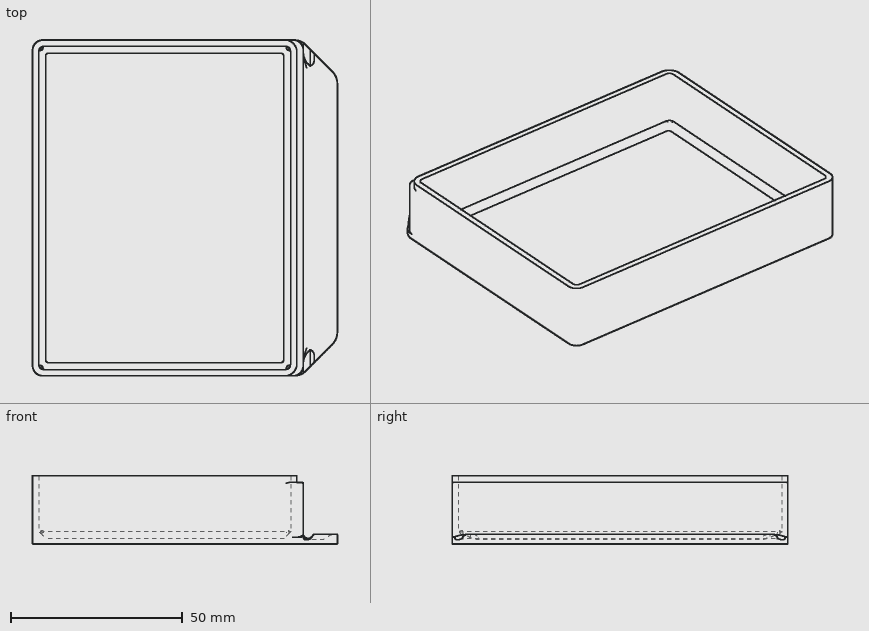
import cadquery as cq
import math

overall_length = 88.8
width = 97.8
height = 20.0
tab_reach = 10.0
corner_radius = 3.0
wall = 1.9
floor_thickness = 1.8
cavity_radius = 1.5
floor_bevel = 2.0
bottom_round = 0.4

step_depth = 1.9
step_height = 2.0
step_corner_radius = 3.5
step_edge_round = 0.4

tab_height = 2.9
tab_floor = 1.4
tab_embed = 3.1
tab_corner_inset = 10.7
tab_corner_radius = 5.4
tab_root_radius = 4.9
tab_edge_round = 0.4
lip_flat = 1.1
lip_slope = 3.8

cove_radius = 1.2
gutter_floor = 1.8
gutter_flat = 0.9
drop_length = 3.5
drop_height = 1.0

wall_face = overall_length - tab_reach
half_width = width / 2
tab_corner_y = half_width - tab_corner_inset
tab_root_x = overall_length - tab_corner_inset
clearance = 1.0


def block(x_start, x_end, y_width, z_bottom, z_top):
    """Box between the given X and Z limits, centred on Y."""
    base = cq.Workplane("XY", origin=(x_start, 0, z_bottom))
    return base.box(x_end - x_start, y_width, z_top - z_bottom, centered=(False, True, False))


def tray_shell():
    """Solid rounded body with its +X rim set back behind a low shelf."""
    shelf = height - step_height
    body = block(0, wall_face, width, 0, shelf).edges("|Z").fillet(corner_radius)
    body = body.faces("<Z").edges().fillet(bottom_round)
    body = body.faces(">Z").edges().fillet(step_edge_round)
    rim = block(0, wall_face - step_depth, width, shelf - clearance, height)
    rim = rim.edges("|Z and <X").fillet(corner_radius)
    rim = rim.edges("|Z and >X").fillet(step_corner_radius)
    return body.union(rim)


def cavity():
    """Inside of the tray: bevelled at the floor, then rounded in every corner."""
    end = wall_face - step_depth - wall
    inside = block(wall, end, width - 2 * wall, floor_thickness, height + clearance)
    inside = inside.faces("<Z").edges().chamfer(floor_bevel)
    return inside.edges("not #Z").fillet(cavity_radius)


def tab_plate():
    """Solid tab plate with mitred corners, all rounded."""
    plate = (
        cq.Workplane("XY")
        .moveTo(wall_face - tab_embed, half_width)
        .lineTo(tab_root_x, half_width)
        .lineTo(overall_length, tab_corner_y)
        .lineTo(overall_length, -tab_corner_y)
        .lineTo(tab_root_x, -half_width)
        .lineTo(wall_face - tab_embed, -half_width)
        .close()
        .extrude(tab_height)
    )
    plate = plate.edges("|Z and >X").fillet(tab_corner_radius)
    roots = cq.selectors.BoxSelector(
        (tab_root_x - clearance, -width, 0),
        (tab_root_x + clearance, width, tab_height),
    )
    plate = plate.edges("|Z").edges(roots).fillet(tab_root_radius)
    return plate.faces("<Z or >Z").edges("not <X").fillet(tab_edge_round)


def lip():
    """Tab lip with an S-shaped inner slope, swept along the tab outline."""
    turn = tab_corner_radius * math.tan(math.pi / 8)
    turn_diagonal = turn / math.sqrt(2)
    arc_start_x = overall_length - turn_diagonal
    arc_start_y = tab_corner_y + turn_diagonal
    arc_end_y = tab_corner_y - turn
    arc_mid_x = overall_length - tab_corner_radius * (1 - math.cos(math.pi / 8))
    arc_mid_y = arc_end_y + tab_corner_radius * math.sin(math.pi / 8)
    mitre_run = 2 * tab_corner_inset
    path_end_x = overall_length - mitre_run
    path_end_y = tab_corner_y + mitre_run
    path = (
        cq.Workplane("XY")
        .moveTo(path_end_x, path_end_y)
        .lineTo(arc_start_x, arc_start_y)
        .threePointArc((arc_mid_x, arc_mid_y), (overall_length, arc_end_y))
        .lineTo(overall_length, -arc_end_y)
        .threePointArc((arc_mid_x, -arc_mid_y), (arc_start_x, -arc_start_y))
        .lineTo(path_end_x, -path_end_y)
    )

    rise = tab_height - tab_floor
    arc_radius = (lip_slope**2 + rise**2) / (4 * rise)
    half_swing = math.asin(lip_slope / 2 / arc_radius) / 2
    arc_mid_run = arc_radius * math.sin(half_swing)
    arc_mid_rise = arc_radius * (1 - math.cos(half_swing))
    foot = lip_flat + lip_slope
    section_plane = cq.Plane(origin=(path_end_x, path_end_y, 0), xDir=(-1, -1, 0), normal=(-1, 1, 0))
    return (
        cq.Workplane(section_plane)
        .moveTo(-clearance, 0)
        .lineTo(foot, 0)
        .lineTo(foot, tab_floor)
        .threePointArc(
            (foot - arc_mid_run, tab_floor + arc_mid_rise),
            (foot - lip_slope / 2, tab_floor + rise / 2),
        )
        .threePointArc((lip_flat + arc_mid_run, tab_height - arc_mid_rise), (lip_flat, tab_height))
        .lineTo(-clearance, tab_height)
        .close()
        .sweep(path)
    )


def dish():
    """Hollow of the tab: the space above its floor that the lip leaves free."""
    above_floor = block(wall_face, overall_length + clearance, width, tab_floor, tab_height)
    return above_floor.cut(lip())


def cove_outline(y, x_start, floor_z):
    """XZ outline at the given Y, begun along the cove from the wall face to the floor."""
    sag = cove_radius * (1 - math.sqrt(0.5))
    return (
        cq.Workplane("XZ", origin=(0, y, 0))
        .moveTo(x_start, floor_z + cove_radius)
        .lineTo(wall_face, floor_z + cove_radius)
        .threePointArc((wall_face + sag, floor_z + sag), (wall_face + cove_radius, floor_z))
    )


def cove():
    """Concave fillet between the wall and the tab floor."""
    x_start = wall_face - wall
    fillet = (
        cove_outline(0, x_start, tab_floor)
        .lineTo(wall_face + cove_radius, bottom_round)
        .lineTo(x_start, bottom_round)
        .close()
    )
    return fillet.extrude(half_width - tab_corner_inset / 2, both=True)


def gutter():
    """Channel along the wall foot: level in the middle, then sloping down past the tab ends."""
    x_start = wall_face - tab_embed
    flat_end = wall_face + cove_radius + gutter_flat
    top = tab_height + drop_height
    level_end = half_width - drop_length

    def outline(y):
        """Gutter cross-section at the given Y, with a 45 degree side against the lip."""
        return (
            cove_outline(y, x_start, gutter_floor)
            .lineTo(flat_end, gutter_floor)
            .lineTo(flat_end + top - gutter_floor, top)
            .lineTo(x_start, top)
            .close()
        )

    channel = outline(0).extrude(level_end, both=True)
    for side in (1, -1):
        descent = cq.Vector(0, side * drop_length, -drop_height)
        ramp = cq.Solid.extrudeLinear(outline(side * level_end).wire().val(), [], descent)
        channel = channel.union(cq.Workplane(ramp))
    return channel


tab = tab_plate().cut(dish()).cut(gutter()).union(cove())
result = tray_shell().union(tab).cut(cavity())